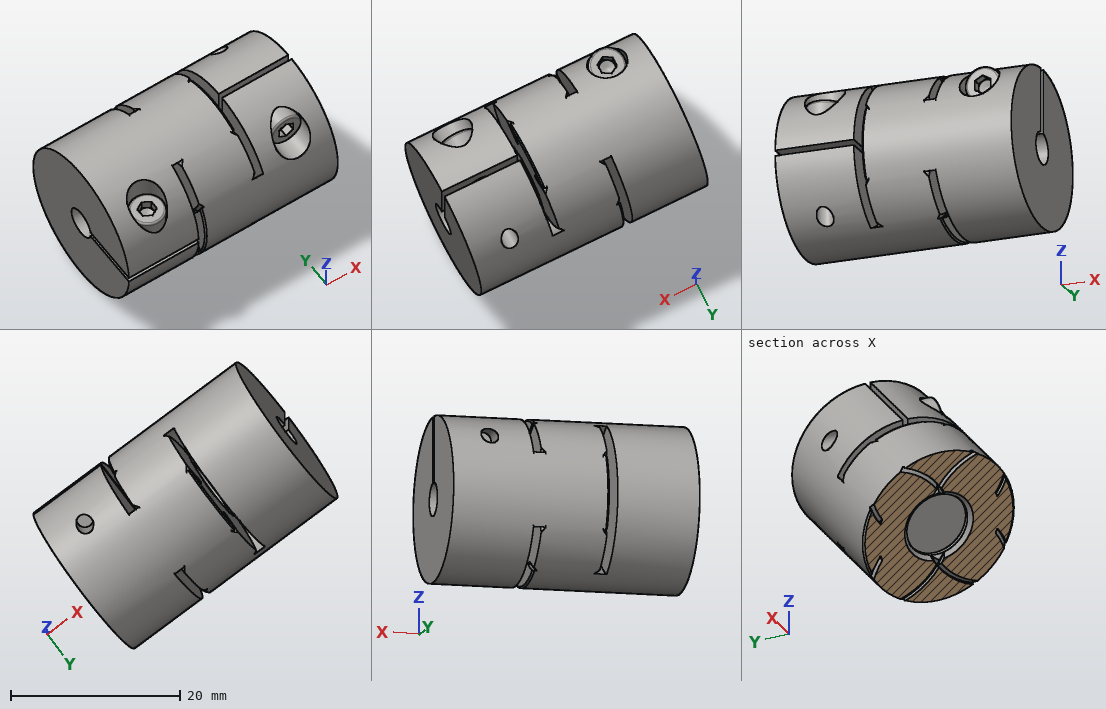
import cadquery as cq
import math


body_length = 30.0
body_radius = 10.0
hub_length = 10.0
hub_end = -body_length / 2
hub_middle = hub_end + hub_length / 2
hub_face = hub_end + hub_length

slot_width = 1.0
middle_face = hub_face + slot_width
slot_radius = 9.5
key_half_width = 4.5
key_edge_height = math.sqrt(body_radius**2 - key_half_width**2)
slot_center = key_half_width + math.sqrt(slot_radius**2 - key_edge_height**2)
undercut = 0.5
notch_depth = 2.0
rim_chamfer = 0.2

bore_diameter = 4.0
pocket_diameter = 8.0
pocket_depth = 1.0
pocket_chamfer = 0.5

slit_width = 0.7
screw_offset = 6.5
head_diameter = 4.5
head_height = 2.5
head_top = 6.45
head_fillet = 0.25
head_seat = head_top - head_height
counterbore_diameter = 4.8
clearance_diameter = 2.75
tapped_diameter = 2.05
shank_diameter = 2.5
shank_length = 8.0
socket_across_flats = 2.0
socket_corner_diameter = socket_across_flats / math.cos(math.radians(30))
socket_depth = 1.2
socket_cone_depth = 0.5


def cylinder_x(diameter, x_start, x_end):
    """Cylinder on the coupling axis."""
    return cq.Workplane("YZ").workplane(offset=x_start).circle(diameter / 2).extrude(x_end - x_start)


def cylinder_on_screw(diameter, z_start, z_end):
    """Vertical cylinder on the axis of the -X hub's clamp screw."""
    return (
        cq.Workplane("XY", origin=(hub_middle, -screw_offset, z_start))
        .circle(diameter / 2)
        .extrude(z_end - z_start)
    )


def revolve_about_x(points):
    """Turn an outline of (x, radius) points about the coupling axis."""
    return cq.Workplane("XY").polyline(points).close().revolve(360, (0, 0, 0), (1, 0, 0))


def turn_about_x(shape, angle):
    return shape.rotate((0, 0, 0), (1, 0, 0), angle)


def other_end(shape):
    """Carry a feature of the -X end over to the +X end."""
    return shape.rotate((0, 0, 0), (0, 1, -1), 180)


def slot_arc_undercut():
    """Triangular groove along the bottom arc of the slot cut in from -Y."""
    groove = revolve_about_x([
        (middle_face, slot_radius - undercut),
        (middle_face, slot_radius),
        (middle_face + undercut, slot_radius),
    ])
    return groove.translate((0, -slot_center, 0))


def cross_slots():
    """Two opposed arc-bottomed slots on -Y and +Y, undercut along their bottoms."""
    disc = cylinder_x(2 * slot_radius, hub_face, middle_face)
    slot = disc.translate((0, -slot_center, 0)).union(slot_arc_undercut())
    return slot.union(turn_about_x(slot, 180))


def rim_notches():
    """Undercuts a quarter turn from the slots, kept only near the rim of the middle body."""
    notch = turn_about_x(slot_arc_undercut(), 90)
    core = cylinder_x(2 * (body_radius - notch_depth), middle_face, middle_face + undercut)
    return notch.union(turn_about_x(notch, 180)).cut(core)


def rim_relief():
    """Chamfer on the two stretches of the middle body's rim between the notches."""
    ring = revolve_about_x([
        (middle_face, body_radius - rim_chamfer),
        (middle_face, body_radius),
        (middle_face + rim_chamfer, body_radius),
    ])
    band = cq.Workplane("XY").box(body_length, 2 * body_radius, 2 * key_half_width)
    return ring.intersect(band)


def bores():
    """Shaft bore of the hub and the chamfered pocket facing it in the middle body."""
    pocket_radius = pocket_diameter / 2
    pocket = revolve_about_x([
        (middle_face, 0),
        (middle_face, pocket_radius + pocket_chamfer),
        (middle_face + pocket_chamfer, pocket_radius),
        (middle_face + pocket_depth, pocket_radius),
        (middle_face + pocket_depth, 0),
    ])
    return cylinder_x(bore_diameter, hub_end, hub_face).union(pocket)


def clamp_slit():
    """Slit from the shaft bore out through the -Y side of the hub."""
    return cq.Workplane("XY").box(hub_length, body_radius, slit_width).translate(
        (hub_middle, -body_radius / 2, 0)
    )


def screw_hole():
    """Counterbore and clearance hole above the slit, tapped hole below it."""
    counterbore = cylinder_on_screw(counterbore_diameter, head_seat, body_radius)
    clearance = cylinder_on_screw(clearance_diameter, 0, head_seat)
    tapped = cylinder_on_screw(tapped_diameter, -body_radius, 0)
    return counterbore.union(clearance).union(tapped)


def clamp_screw():
    """Socket head cap screw seated in the counterbore."""
    head = cylinder_on_screw(head_diameter, head_seat, head_top).faces(">Z").edges().fillet(head_fillet)
    socket_floor = head_top - socket_depth
    socket = (
        cq.Workplane("XY", origin=(hub_middle, -screw_offset, socket_floor))
        .transformed(rotate=(0, 0, 90))
        .polygon(6, socket_corner_diameter)
        .extrude(socket_depth)
    )
    socket_tip = cq.Workplane(cq.Solid.makeCone(
        socket_across_flats / 2,
        0,
        socket_cone_depth,
        pnt=cq.Vector(hub_middle, -screw_offset, socket_floor),
        dir=cq.Vector(0, 0, -1),
    ))
    shank = cylinder_on_screw(shank_diameter, head_seat - shank_length, head_seat)
    return head.cut(socket).cut(socket_tip).union(shank)


result = cylinder_x(2 * body_radius, -body_length / 2, body_length / 2)

for cutter in (cross_slots(), rim_notches(), rim_relief(), bores(), clamp_slit(), screw_hole()):
    result = result.cut(cutter).cut(other_end(cutter))

screw = clamp_screw()
result = result.union(screw).union(other_end(screw))